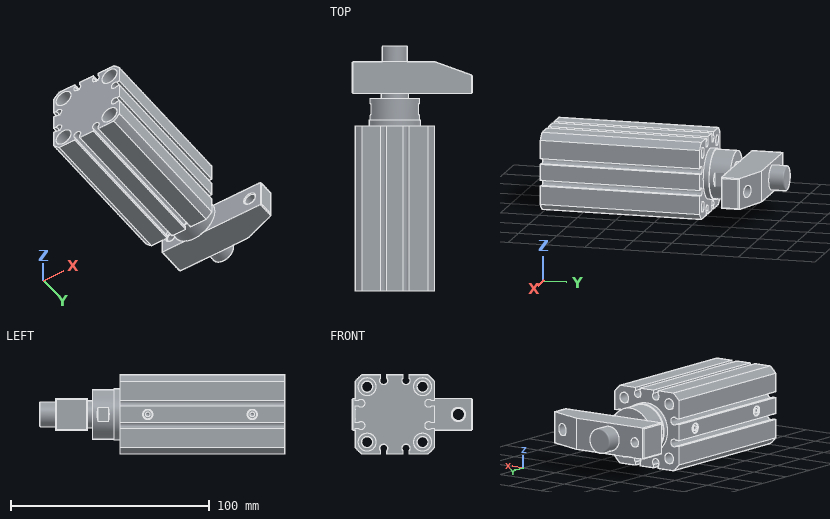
import cadquery as cq
import math


housing_side = 40.0
housing_length = 83.1
corner_circle_diameter = 52.0
mount_pitch = 27.9
mount_hole_diameter = 5.4
mount_counterbore_diameter = 9.0
mount_counterbore_depth = 7.0

slot_spacing = 11.2
slot_neck_width = 3.0
slot_round_diameter = 4.0
slot_depth = 5.0

port_positions = (16.4, 69.0)
port_diameter = 4.5
port_depth = 5.0
port_chamfer = 0.4
plug_socket_diameter = 2.3
plug_socket_depth = 1.5
plug_socket_tip_angle = 118

flange_diameter = 25.9
flange_length = 3.0
collar_diameter = 25.1
collar_length = 10.9
flat_recess_depth = 0.5
flat_recess_length = 5.2
flat_recess_offset = 5.4

rod_diameter = 14.0
rod_exposed_length = 2.5
bolt_diameter = 12.7
bolt_fillet = 0.7

arm_back_reach = 21.5
arm_front_reach = 39.0
arm_thickness = 16.0
arm_slope_start = 20.3
arm_slope_drop = 6.8
arm_chamfer = 0.5
tip_hole_position = 32.0
tip_hole_diameter = 6.2
tip_hole_chamfer = 0.5
back_hole_position = -16.0
back_hole_diameter = 4.7
back_hole_chamfer = 0.5

overall_length = 123.5
flange_top = housing_length + flange_length
collar_top = flange_top + collar_length
arm_bottom = collar_top + rod_exposed_length
arm_top = arm_bottom + arm_thickness


def cylinder(diameter, start, end):
    """A cylinder on the Y axis from start to end."""
    return cq.Workplane("XZ", origin=(0, start, 0)).circle(diameter / 2).extrude(start - end)


def chamfered_hole(diameter, chamfer, depth):
    """A cutter along +Z with its wide, chamfered mouth at Z = 0."""
    radius = diameter / 2
    profile = [
        (0, 0),
        (radius + chamfer, 0),
        (radius, chamfer),
        (radius, depth),
        (0, depth),
    ]
    return cq.Workplane("XZ").polyline(profile).close().revolve(360, (0, 0, 0), (0, 1, 0))


def along_x(shape, y):
    """Turn a shape from +Z to +X and set it on the -X side of the housing."""
    return shape.rotate((0, 0, 0), (0, 1, 0), 90).translate((-housing_side / 2, y, 0))


def sensor_slot(offset, turn):
    """A keyhole slot cutter in the +Z side, turned about the axis to another side."""
    round_center = housing_side / 2 - slot_depth + slot_round_diameter / 2
    neck_length = housing_side / 2 - round_center
    neck = cq.Workplane("XY").box(
        slot_neck_width, housing_length, neck_length, centered=(True, False, False)
    )
    slot = cylinder(slot_round_diameter, 0, housing_length).union(neck)
    return slot.translate((offset, 0, round_center)).rotate((0, 0, 0), (0, 1, 0), turn)


def make_housing():
    block = cq.Workplane("XY").box(
        housing_side, housing_length, housing_side, centered=(True, False, True)
    )
    body = block.intersect(cylinder(corner_circle_diameter, 0, housing_length))
    body = (
        body.faces("<Y")
        .workplane(centerOption="CenterOfBoundBox")
        .rect(mount_pitch, mount_pitch, forConstruction=True)
        .vertices()
        .cboreHole(mount_hole_diameter, mount_counterbore_diameter, mount_counterbore_depth)
    )
    for turn in (0, 90, 180, 270):
        for offset in (-slot_spacing / 2, slot_spacing / 2):
            body = body.cut(sensor_slot(offset, turn))
    for y in port_positions:
        body = body.cut(along_x(chamfered_hole(port_diameter, port_chamfer, port_depth), y))
    return body


def make_port_plug(y):
    """A plug that fills a port up to its chamfer, with a small drilled socket."""
    socket_radius = plug_socket_diameter / 2
    socket_bottom = port_chamfer + plug_socket_depth
    socket_tip = socket_bottom + socket_radius / math.tan(math.radians(plug_socket_tip_angle / 2))
    profile = [
        (0, socket_tip),
        (socket_radius, socket_bottom),
        (socket_radius, port_chamfer),
        (port_diameter / 2, port_chamfer),
        (port_diameter / 2, port_depth),
        (0, port_depth),
    ]
    plug = cq.Workplane("XZ").polyline(profile).close().revolve(360, (0, 0, 0), (0, 1, 0))
    return along_x(plug, y)


def make_collar():
    """A flanged ring with a sloped-wall wrench recess on its +X and -X sides."""
    ring = cylinder(flange_diameter, housing_length, flange_top)
    ring = ring.union(cylinder(collar_diameter, flange_top, collar_top))
    ring = ring.cut(cylinder(rod_diameter, housing_length, collar_top))
    collar_radius = collar_diameter / 2
    flat = collar_radius - flat_recess_depth
    middle = flange_top + flat_recess_offset
    half_bottom = flat_recess_length / 2
    half_mouth = half_bottom + flat_recess_depth
    for side in (-1, 1):
        recess = (
            cq.Workplane("XY")
            .polyline([
                (side * flat, middle - half_bottom),
                (side * collar_radius, middle - half_mouth),
                (side * collar_radius, middle + half_mouth),
                (side * flat, middle + half_bottom),
            ])
            .close()
            .extrude(collar_radius, both=True)
        )
        ring = ring.cut(recess)
    return ring


def make_rod():
    return cylinder(rod_diameter, housing_length, arm_bottom)


def make_bolt():
    """A plain bolt standing on the rod, with a rounded rim at its free end."""
    return cylinder(bolt_diameter, arm_bottom, overall_length).faces(">Y").edges().fillet(bolt_fillet)


def make_arm():
    """A square bar with a sloped end, clamped on the bolt."""
    outline = [
        (-arm_back_reach, arm_bottom),
        (arm_front_reach, arm_bottom),
        (arm_front_reach, arm_top - arm_slope_drop),
        (arm_slope_start, arm_top),
        (-arm_back_reach, arm_top),
    ]
    bar = cq.Workplane("XY").polyline(outline).close().extrude(arm_thickness / 2, both=True)
    bar = bar.faces("<X or >X").edges().chamfer(arm_chamfer)
    bar = bar.cut(cylinder(bolt_diameter, arm_bottom, arm_top))
    holes = (
        (tip_hole_position, tip_hole_diameter, tip_hole_chamfer),
        (back_hole_position, back_hole_diameter, back_hole_chamfer),
    )
    for x, diameter, chamfer in holes:
        hole = chamfered_hole(diameter, chamfer, arm_thickness)
        bar = bar.cut(hole.rotate((0, 0, 0), (1, 0, 0), -90).translate((x, arm_bottom, 0)))
    return bar


housing = make_housing()
port_plugs = [make_port_plug(y) for y in port_positions]
collar = make_collar()
rod = make_rod()
bolt = make_bolt()
arm = make_arm()

result = cq.Compound.makeCompound([
    housing.val(),
    *[plug.val() for plug in port_plugs],
    collar.val(),
    rod.val(),
    bolt.val(),
    arm.val(),
])